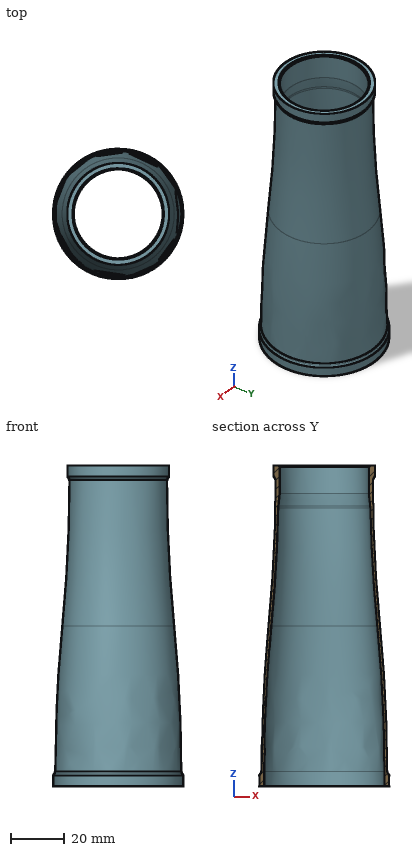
import cadquery as cq
import math

length = 120.0
base_rim_radius = 24.42
base_radius = 23.6
neck_rim_radius = 19.1
neck_radius = 18.3

band_height = 4.1
cone_height = 0.7
first_cone_step = 0.5
rim_end = band_height + 2 * cone_height

wall = 1.2
throat_radius = 16.62
throat_depth = 10.5
throat_cone_height = 4.7
throat_lip_height = 0.8
mouth_chamfer = 0.5

middle_height = length / 2
neck_end = length - rim_end
flare_half_height = middle_height - rim_end
flare_half_shift = (base_radius - neck_radius) / 2
flare_arc_radius = (flare_half_height**2 + flare_half_shift**2) / (2 * flare_half_shift)


def arc_shift(radius, rise):
    """Sideways shift of an arc after rising from where it runs parallel to Z."""
    return radius - math.sqrt(radius**2 - rise**2)


def base_arc_radius_at(height, offset):
    """Body radius on the lower arc, moved inward by offset."""
    return base_radius - offset - arc_shift(flare_arc_radius - offset, height - rim_end)


def neck_arc_radius_at(height, offset):
    """Body radius on the upper arc, moved inward by offset."""
    return neck_radius - offset + arc_shift(flare_arc_radius + offset, neck_end - height)


def add_flare(profile, offset, end_height):
    """Continue a profile from the base end of the flare up to end_height."""
    middle_radius = base_arc_radius_at(middle_height, offset)
    lower_height = (rim_end + middle_height) / 2
    upper_height = (middle_height + end_height) / 2
    return (
        profile
        .threePointArc(
            (base_arc_radius_at(lower_height, offset), lower_height),
            (middle_radius, middle_height),
        )
        .threePointArc(
            (neck_arc_radius_at(upper_height, offset), upper_height),
            (neck_arc_radius_at(end_height, offset), end_height),
        )
    )


def revolve_profile(profile):
    """Close a half profile on the Z axis and spin it into a solid."""
    return profile.close().revolve(360, (0, 0, 0), (0, 1, 0))


def make_body():
    profile = (
        cq.Workplane("XZ")
        .lineTo(base_rim_radius, 0)
        .lineTo(base_rim_radius, band_height)
        .lineTo(base_rim_radius - first_cone_step, band_height + cone_height)
        .lineTo(base_radius, rim_end)
    )
    profile = (
        add_flare(profile, 0, neck_end)
        .lineTo(neck_rim_radius - first_cone_step, neck_end + cone_height)
        .lineTo(neck_rim_radius, length - band_height)
        .lineTo(neck_rim_radius, length)
        .lineTo(0, length)
    )
    return revolve_profile(profile)


def make_bore():
    throat_bottom = length - throat_depth
    cone_bottom = throat_bottom - throat_cone_height
    lip_bottom = cone_bottom - throat_lip_height
    profile = (
        cq.Workplane("XZ")
        .lineTo(base_radius - wall, 0)
        .lineTo(base_radius - wall, rim_end)
    )
    profile = (
        add_flare(profile, wall, lip_bottom)
        .lineTo(neck_radius - wall, cone_bottom)
        .lineTo(throat_radius, throat_bottom)
        .lineTo(throat_radius, length - mouth_chamfer)
        .lineTo(throat_radius + mouth_chamfer, length)
        .lineTo(0, length)
    )
    return revolve_profile(profile)


result = make_body().cut(make_bore())